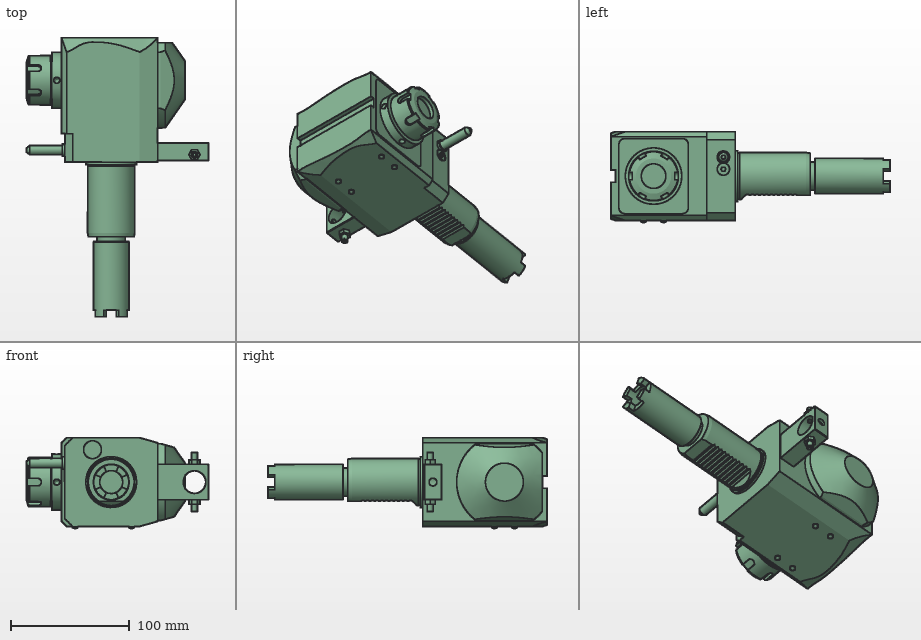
import cadquery as cq
import math


LENGTH = 235.2
BODY_DEPTH = 105.0
BODY_HALF_HEIGHT = 37.5
BODY_LEFT = -41.9
BODY_RIGHT = 39.0
LEFT_CHAMFER = 4.2
SLOPE_START = 24.0
SLOPE_DROP = 4.2
STEP_DEPTH = 24.0
STEP_LEFT = -39.0
STEP_CHAMFER = 6.5
BACK_SLOPE_LENGTH = 12.2
REAR_CURVE = [(-25.9, 2.0), (-13.6, 2.96), (1.0, 2.47), (13.0, 1.5)]
NOTCH_HEIGHT = 10.0
NOTCH_DEPTH = 3.8
SHOULDER_HEIGHT = BODY_HALF_HEIGHT - SLOPE_DROP

INLAY_DEPTH = 0.2
PANEL_LENGTH = 58.3
PANEL_HEIGHT = 63.0
PANEL_CORNER = 4.7
PLUG_X = -15.8
PLUG_Z = 27.3
PLUG_RADIUS = 7.5

SCREW_CENTER_X = -6.5
SCREW_SPACING_X = 47.5
SCREW_SPACING_Y = 17.0
SCREW_RADIUS = 2.4
SCREW_HEAD = 1.0
SCREW_TIP = 1.9

SPINDLE_Y = 69.0
SPINDLE_TIP = -71.5
RING_RADIUS = 23.8
RING_LEFT = -49.9
RING_HOLE_RADIUS = 2.5
RING_HOLE_DEPTH = 3.5
NECK_RADIUS = 16.0
NUT_RADIUS = 21.0
NUT_RIGHT = -51.0
NUT_FACE_RADIUS = 14.8
NUT_CONE_RADIUS = 20.5
NUT_CONE_LENGTH = 1.6
NUT_EDGE_LENGTH = 2.8
COLLET_BORE_RADIUS = 10.4
COLLET_BORE_DEPTH = 3.5
NUT_SLOT_COUNT = 6
NUT_SLOT_WIDTH = 6.4
NUT_SLOT_END = -58.8
NUT_SLOT_FLOOR = 17.9

CAP_RADIUS = 40.2
CAP_CONE_START = 45.5
CAP_RIGHT = 62.3
CAP_FACE_RADIUS = 16.0
CAP_BACK = 100.7
CAP_HALF_HEIGHT = 32.5

PIN_Y = 10.0
PIN_Z = 16.0
PIN_RADIUS = 4.0
PIN_TIP_RADIUS = 1.6
PIN_TIP_LENGTH = 3.0
COLLAR_RADIUS = 5.2
COLLAR_HEIGHT = 2.0
SOCKET_SCREW_Z = 5.9
SOCKET_SCREW_HEIGHT = 0.7
SOCKET_WIDTH = 3.5
SOCKET_DEPTH = 2.4

ARM_RIGHT = 82.0
ARM_FRONT = 1.2
ARM_BACK = 16.2
ARM_HALF_HEIGHT = 15.0
ARM_CHAMFER = 0.5
ARM_HOLE_X = 70.0
ARM_HOLE_RADIUS = 9.5
END_HOLE_RADIUS = 3.3
SCREW_PATH_RADIUS = 1.9
SCREW_PATH_DEPTH = 1.0
SET_SCREW_Y = 6.4
SET_SCREW_RADIUS = 2.5
SET_SCREW_TOP = 25.2
SET_SCREW_SOCKET = 2.5
SET_SCREW_CHAMFER = 0.5
LOCK_NUT_WIDTH = 8.2
LOCK_NUT_HEIGHT = 3.8

SHANK_TIP = LENGTH - BODY_DEPTH
FLANGE_RADIUS = 21.5
FLANGE_LENGTH = 2.0
RELIEF_RADIUS = 19.5
RELIEF_END = 3.5
SHANK_RADIUS = 20.0
SHANK_LENGTH = 63.0
SHANK_END_RADIUS = 19.3
SHANK_END_LENGTH = 3.5
SHANK_NECK_RADIUS = 12.0
DRIVE_START = 66.8
DRIVE_RADIUS = 15.0
DRIVE_CHAMFER = 0.5
DRIVE_BORE_RADIUS = 9.6
DRIVE_BORE_DEPTH = 18.8
CLAW_LENGTH = 5.6
CLAW_GAP_ANGLE = 50.0
CLAW_COUNT = 4
FLAT_DEPTH = 16.2
FLAT_RUNOUT = 4.5
TOOTH_PITCH = 4.0
TOOTH_COUNT = 11
TOOTH_DEPTH = 1.0


def box(x0, x1, y0, y1, z0, z1):
    """Box between two opposite corners."""
    return cq.Workplane("XY").box(x1 - x0, y1 - y0, z1 - z0, centered=False).translate((x0, y0, z0))


def rod_x(y, z, x0, x1, radius):
    """Round bar along X."""
    return cq.Workplane("YZ", origin=(x0, y, z)).circle(radius).extrude(x1 - x0)


def hexagon(plane, origin, across_flats, length):
    """Hexagonal bar along the normal of the plane."""
    across_corners = across_flats / math.cos(math.pi / 6)
    return cq.Workplane(plane, origin=origin).polygon(6, across_corners).extrude(length)


def turned_on_spindle(profile):
    """Solid of revolution about the spindle axis from (x, radius) points."""
    half = cq.Workplane("XY").polyline(profile).close()
    return half.revolve(360, (0, 0, 0), (1, 0, 0)).translate((0, SPINDLE_Y, 0))


def mirrored(solid):
    """The solid joined with its mirror image below the XY plane."""
    return solid.union(solid.mirror("XY"))


def chamfered_section(left, chamfer, y0, y1):
    """Housing section: chamfered corners on the left and tapered top and bottom on the right."""
    upper = [
        (left, BODY_HALF_HEIGHT - chamfer),
        (left + chamfer, BODY_HALF_HEIGHT),
        (SLOPE_START, BODY_HALF_HEIGHT),
        (BODY_RIGHT, SHOULDER_HEIGHT),
    ]
    lower = [(x, -z) for x, z in reversed(upper)]
    outline = cq.Workplane("XZ", origin=(0, y1, 0)).polyline(upper + lower).close()
    return outline.extrude(y1 - y0)


def rear_cut():
    """Material above the crowned, forward-rising slope along the rear top edge."""
    crest = [(BODY_LEFT + LEFT_CHAMFER, SHOULDER_HEIGHT)]
    crest += [(x, SHOULDER_HEIGHT + rise) for x, rise in REAR_CURVE]
    crest += [(SLOPE_START, SHOULDER_HEIGHT), (BODY_RIGHT, SHOULDER_HEIGHT)]
    above = 2 * BODY_HALF_HEIGHT
    profile = (
        cq.Workplane("XZ")
        .moveTo(BODY_LEFT, SHOULDER_HEIGHT)
        .spline(crest, includeCurrent=True)
        .lineTo(BODY_RIGHT, above)
        .lineTo(BODY_LEFT, above)
        .close()
        .wire()
        .val()
    )
    run = cq.Vector(0, -2 * BACK_SLOPE_LENGTH, 2 * SLOPE_DROP)
    wedge = cq.Solid.extrudeLinear(profile, [], run)
    return cq.Workplane(wedge).translate((0, BODY_DEPTH, 0))


def housing():
    rear = chamfered_section(BODY_LEFT, LEFT_CHAMFER, STEP_DEPTH, BODY_DEPTH)
    front = chamfered_section(STEP_LEFT, STEP_CHAMFER, 0, STEP_DEPTH)
    notch = box(
        BODY_LEFT, BODY_RIGHT, BODY_DEPTH - NOTCH_DEPTH, BODY_DEPTH, -NOTCH_HEIGHT / 2, NOTCH_HEIGHT / 2
    )
    panel = (
        cq.Workplane("YZ", origin=(BODY_LEFT, SPINDLE_Y, 0))
        .rect(PANEL_LENGTH, PANEL_HEIGHT)
        .extrude(INLAY_DEPTH)
        .edges("|X")
        .fillet(PANEL_CORNER)
    )
    plug = cq.Workplane("XZ", origin=(PLUG_X, INLAY_DEPTH, PLUG_Z)).circle(PLUG_RADIUS).extrude(INLAY_DEPTH)
    return rear.union(front).cut(mirrored(rear_cut())).cut(notch).cut(panel).cut(plug)


def underside_screws():
    """Four short screw ends with conical tips below the housing."""
    profile = [(0, 0), (SCREW_RADIUS, 0), (SCREW_RADIUS, -SCREW_HEAD), (0, -SCREW_TIP)]
    screw = cq.Workplane("XZ").polyline(profile).close().revolve(360, (0, 0, 0), (0, 1, 0))
    screws = cq.Workplane("XY")
    for side_x in (-1, 1):
        for side_y in (-1, 1):
            x = SCREW_CENTER_X + side_x * SCREW_SPACING_X / 2
            y = SPINDLE_Y + side_y * SCREW_SPACING_Y / 2
            screws = screws.add(screw.translate((x, y, -BODY_HALF_HEIGHT)))
    return screws.combine()


def spindle():
    """Bearing ring and slotted collet nut."""
    body = turned_on_spindle([
        (SPINDLE_TIP + COLLET_BORE_DEPTH, 0),
        (SPINDLE_TIP + COLLET_BORE_DEPTH, COLLET_BORE_RADIUS),
        (SPINDLE_TIP, COLLET_BORE_RADIUS),
        (SPINDLE_TIP, NUT_FACE_RADIUS),
        (SPINDLE_TIP + NUT_CONE_LENGTH, NUT_CONE_RADIUS),
        (SPINDLE_TIP + NUT_EDGE_LENGTH, NUT_RADIUS),
        (NUT_RIGHT, NUT_RADIUS),
        (NUT_RIGHT, NECK_RADIUS),
        (RING_LEFT, NECK_RADIUS),
        (RING_LEFT, RING_RADIUS),
        (BODY_LEFT + INLAY_DEPTH, RING_RADIUS),
        (BODY_LEFT + INLAY_DEPTH, 0),
    ])
    axis_start = (0, SPINDLE_Y, 0)
    axis_end = (1, SPINDLE_Y, 0)

    slot_length = 2 * (NUT_SLOT_END - SPINDLE_TIP)
    slot = (
        cq.Workplane("XZ", origin=(SPINDLE_TIP, SPINDLE_Y - NUT_SLOT_FLOOR, 0))
        .slot2D(slot_length, NUT_SLOT_WIDTH)
        .extrude(NUT_RADIUS)
    )
    for i in range(NUT_SLOT_COUNT):
        body = body.cut(slot.rotate(axis_start, axis_end, i * 360 / NUT_SLOT_COUNT))

    hole_x = (RING_LEFT + BODY_LEFT) / 2
    hole = cq.Workplane(cq.Solid.makeCone(
        RING_HOLE_RADIUS,
        0,
        RING_HOLE_DEPTH,
        cq.Vector(hole_x, SPINDLE_Y - RING_RADIUS, 0),
        cq.Vector(0, 1, 0),
    ))
    for angle in (0, 90, 180, 270):
        body = body.cut(hole.rotate(axis_start, axis_end, angle))
    return body


def rear_cap():
    """Conical cap trimmed at the back, top and bottom; the tapers of the housing run on across it."""
    cone = turned_on_spindle([
        (BODY_RIGHT, 0),
        (BODY_RIGHT, CAP_RADIUS),
        (CAP_CONE_START, CAP_RADIUS),
        (CAP_RIGHT, CAP_FACE_RADIUS),
        (CAP_RIGHT, 0),
    ])
    slope = SLOPE_DROP / (BODY_RIGHT - SLOPE_START)
    taper_x = BODY_RIGHT + (SHOULDER_HEIGHT - CAP_HALF_HEIGHT) / slope
    end_height = CAP_HALF_HEIGHT - slope * (CAP_RIGHT - taper_x)
    upper = [(BODY_RIGHT, CAP_HALF_HEIGHT), (taper_x, CAP_HALF_HEIGHT), (CAP_RIGHT, end_height)]
    lower = [(x, -z) for x, z in reversed(upper)]
    envelope = cq.Workplane("XZ", origin=(0, CAP_BACK, 0)).polyline(upper + lower).close().extrude(CAP_BACK)
    return cone.intersect(envelope)


def coolant_pin():
    """Pointed pin on a collar, and a low socket screw beside it."""
    collar = rod_x(PIN_Y, PIN_Z, STEP_LEFT - COLLAR_HEIGHT, STEP_LEFT, COLLAR_RADIUS)
    pin = (
        rod_x(PIN_Y, PIN_Z, SPINDLE_TIP, STEP_LEFT, PIN_RADIUS)
        .faces("<X")
        .chamfer(PIN_TIP_LENGTH, PIN_RADIUS - PIN_TIP_RADIUS)
    )
    head = rod_x(PIN_Y, SOCKET_SCREW_Z, STEP_LEFT - SOCKET_SCREW_HEIGHT, STEP_LEFT, COLLAR_RADIUS)
    return collar.union(pin).union(head)


def screw_socket():
    """Hexagon socket that runs through the low screw head into the housing."""
    opening = (STEP_LEFT - SOCKET_SCREW_HEIGHT, PIN_Y, SOCKET_SCREW_Z)
    return hexagon("YZ", opening, SOCKET_WIDTH, SOCKET_DEPTH)


def torque_arm():
    """Bored arm on the right with a set screw and lock nut above and below."""
    arm = (
        box(BODY_RIGHT, ARM_RIGHT, ARM_FRONT, ARM_BACK, -ARM_HALF_HEIGHT, ARM_HALF_HEIGHT)
        .faces(">X or >Y")
        .edges("not <X")
        .chamfer(ARM_CHAMFER)
    )
    hole = (
        cq.Workplane("XZ", origin=(ARM_HOLE_X, ARM_BACK, 0))
        .circle(ARM_HOLE_RADIUS)
        .extrude(ARM_BACK - ARM_FRONT)
    )
    end_hole = rod_x((ARM_FRONT + ARM_BACK) / 2, 0, ARM_HOLE_X, ARM_RIGHT, END_HOLE_RADIUS)
    screw_path = (
        cq.Workplane("XY", origin=(ARM_HOLE_X, SET_SCREW_Y, 0))
        .circle(SCREW_PATH_RADIUS)
        .extrude(ARM_HOLE_RADIUS + SCREW_PATH_DEPTH)
    )
    bores = hole.union(end_hole).union(mirrored(screw_path))
    base = (ARM_HOLE_X, SET_SCREW_Y, ARM_HALF_HEIGHT)
    lock_nut = hexagon("XY", base, LOCK_NUT_WIDTH, LOCK_NUT_HEIGHT)
    set_screw = (
        cq.Workplane("XY", origin=base)
        .circle(SET_SCREW_RADIUS)
        .extrude(SET_SCREW_TOP - ARM_HALF_HEIGHT)
        .faces(">Z")
        .chamfer(SET_SCREW_CHAMFER)
    )
    socket_floor = (ARM_HOLE_X, SET_SCREW_Y, SET_SCREW_TOP - SET_SCREW_SOCKET)
    socket = hexagon("XY", socket_floor, SET_SCREW_SOCKET, SET_SCREW_SOCKET)
    return arm.cut(bores).union(mirrored(lock_nut.union(set_screw).cut(socket)))


def flat_cut():
    """Flat below the shank: a 45 degree runout at the housing end, then a row of V grooves."""
    outside = FLANGE_RADIUS + 2.4
    run = outside - FLAT_DEPTH
    flat_start = FLAT_RUNOUT + SHANK_RADIUS - FLAT_DEPTH
    points = [(-(flat_start - run), -outside), (-flat_start, -FLAT_DEPTH)]
    for i in range(TOOTH_COUNT):
        crest = flat_start + i * TOOTH_PITCH
        root = crest + TOOTH_PITCH / 2
        points.append((-root, -FLAT_DEPTH + TOOTH_DEPTH))
        points.append((-crest - TOOTH_PITCH, -FLAT_DEPTH))
    points.append((-SHANK_LENGTH, -FLAT_DEPTH))
    points.append((-SHANK_LENGTH, -outside))
    outline = cq.Workplane("YZ", origin=(-outside, 0, 0)).polyline(points).close()
    return outline.extrude(2 * outside)


def shank():
    """Toothed shank with the claw coupling at its end."""
    profile = [
        (0, 0),
        (FLANGE_RADIUS, 0),
        (FLANGE_RADIUS, -FLANGE_LENGTH),
        (RELIEF_RADIUS, -FLANGE_LENGTH),
        (RELIEF_RADIUS, -RELIEF_END),
        (SHANK_RADIUS, -RELIEF_END),
        (SHANK_RADIUS, -SHANK_LENGTH + SHANK_END_LENGTH),
        (SHANK_END_RADIUS, -SHANK_LENGTH),
        (SHANK_NECK_RADIUS, -SHANK_LENGTH),
        (SHANK_NECK_RADIUS, -DRIVE_START),
        (DRIVE_RADIUS - DRIVE_CHAMFER, -DRIVE_START),
        (DRIVE_RADIUS, -DRIVE_START - DRIVE_CHAMFER),
        (DRIVE_RADIUS, -SHANK_TIP),
        (DRIVE_BORE_RADIUS, -SHANK_TIP),
        (DRIVE_BORE_RADIUS, -SHANK_TIP + DRIVE_BORE_DEPTH),
        (0, -SHANK_TIP + DRIVE_BORE_DEPTH),
    ]
    body = cq.Workplane("XY").polyline(profile).close().revolve(360, (0, 0, 0), (0, 1, 0))
    body = body.cut(flat_cut())

    reach = 2 * DRIVE_RADIUS
    half_width = reach * math.tan(math.radians(CLAW_GAP_ANGLE / 2))
    gap = (
        cq.Workplane("XZ", origin=(0, CLAW_LENGTH - SHANK_TIP, 0))
        .polyline([(0, 0), (reach, half_width), (reach, -half_width)])
        .close()
        .extrude(CLAW_LENGTH)
    )
    for i in range(CLAW_COUNT):
        body = body.cut(gap.rotate((0, 0, 0), (0, 1, 0), i * 360 / CLAW_COUNT))
    return body


result = (
    housing()
    .union(underside_screws())
    .union(spindle())
    .union(rear_cap())
    .union(coolant_pin())
    .union(torque_arm())
    .union(shank())
    .cut(screw_socket())
)